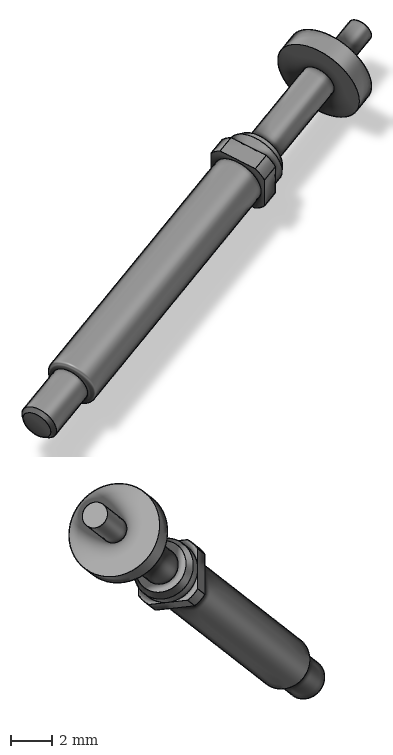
import cadquery as cq

total_length = 29.0

tail_diameter = 1.3
flange_diameter = 4.7
neck_diameter = 1.8
collar_diameter = 3.07
square_corner_diameter = 3.68
body_diameter = 2.7
tip_diameter = 2.0

tail_length = 2.65
flange_length = 1.1
neck_length = 5.28
round_collar_length = 1.0
square_collar_length = 1.0
tip_length = 3.0

body_end_fillet = 0.2
tip_end_chamfer = 0.2
collar_bevel_length = 0.38
collar_bevel_depth = 0.23

tail_end = total_length / 2
flange_back = tail_end - tail_length
flange_front = flange_back - flange_length
collar_back = flange_front - neck_length
square_back = collar_back - round_collar_length
square_front = square_back - square_collar_length
tip_end = -total_length / 2
body_front = tip_end + tip_length


def cylinder(diameter, y_start, y_end):
    """Solid round section between two stations along Y."""
    sketch = cq.Workplane("XZ", origin=(0, y_end, 0)).circle(diameter / 2)
    return sketch.extrude(y_end - y_start)


def round_collar():
    """Round part of the collar, with a cone on the side facing the tail."""
    radius = collar_diameter / 2
    profile = (
        cq.Workplane("XY")
        .moveTo(0, square_back)
        .lineTo(radius, square_back)
        .lineTo(radius, collar_back - collar_bevel_length)
        .lineTo(radius - collar_bevel_depth, collar_back)
        .lineTo(0, collar_back)
        .close()
    )
    return profile.revolve(360, (0, 0, 0), (0, 1, 0))


def square_collar():
    """Square part of the collar: four flats level with the round part, corners turned round."""
    blank = cylinder(square_corner_diameter, square_front, square_back)
    square = cq.Workplane("XZ", origin=(0, square_back, 0)).rect(collar_diameter, collar_diameter)
    return blank.intersect(square.extrude(square_collar_length))


tail = cylinder(tail_diameter, flange_back, tail_end)
flange = cylinder(flange_diameter, flange_front, flange_back)
neck = cylinder(neck_diameter, collar_back, flange_front)
body = cylinder(body_diameter, body_front, square_front).faces("<Y").edges().fillet(body_end_fillet)
tip = cylinder(tip_diameter, tip_end, body_front).faces("<Y").edges().chamfer(tip_end_chamfer)

result = tail
for section in (flange, neck, round_collar(), square_collar(), body, tip):
    result = result.union(section)